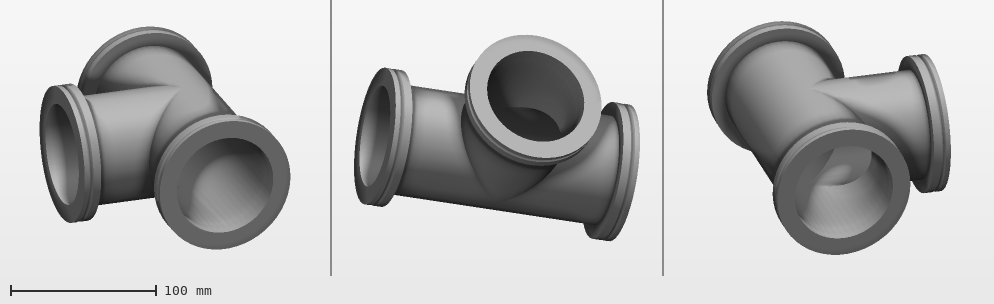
import cadquery as cq

run_length = 176.0
reach = run_length / 2
flange_diameter = 95.0
flange_thickness = 12.0
pipe_diameter = 76.0
bore_diameter = 70.0
groove_center = 5.0
groove_depth = 1.5

PORT_DIRECTIONS = [(-1, 0, 0), (1, 0, 0), (0, -1, 0)]


def port_cylinder(direction, diameter):
    """Cylinder from the tee centre to an open end."""
    return cq.Workplane(cq.Plane((0, 0, 0), normal=direction)).circle(diameter / 2).extrude(reach)


def grooved_flange(direction):
    """Solid flange disc with a V groove around its rim."""
    radius = flange_diameter / 2
    groove_height = reach - groove_center
    across = cq.Vector(0, 0, 1)
    profile_plane = cq.Plane((0, 0, 0), xDir=across, normal=across.cross(cq.Vector(direction)))
    return (
        cq.Workplane(profile_plane)
        .moveTo(0, reach - flange_thickness)
        .lineTo(radius, reach - flange_thickness)
        .lineTo(radius, groove_height - groove_depth)
        .lineTo(radius - groove_depth, groove_height)
        .lineTo(radius, groove_height + groove_depth)
        .lineTo(radius, reach)
        .lineTo(0, reach)
        .close()
        .revolve(360, (0, 0, 0), (0, 1, 0))
    )


def joined(bodies):
    """Union of a list of bodies."""
    total = bodies[0]
    for body in bodies[1:]:
        total = total.union(body)
    return total


pipes = joined([port_cylinder(direction, pipe_diameter) for direction in PORT_DIRECTIONS])
flanges = joined([grooved_flange(direction) for direction in PORT_DIRECTIONS])
bores = joined([port_cylinder(direction, bore_diameter) for direction in PORT_DIRECTIONS])

result = pipes.union(flanges).cut(bores)